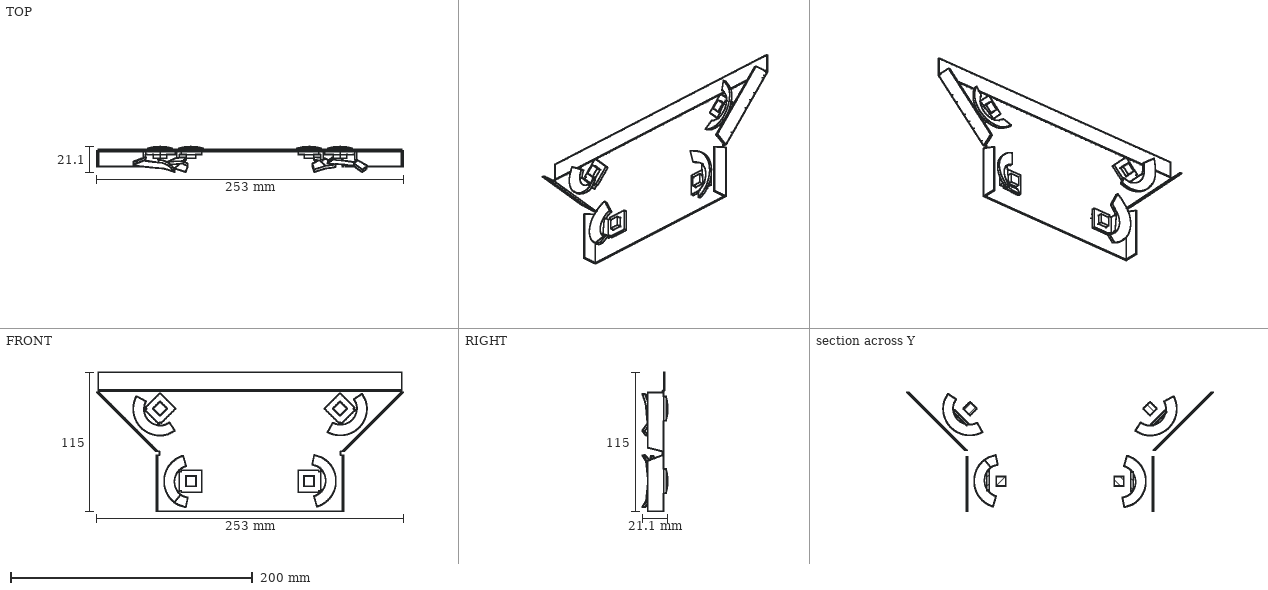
import cadquery as cq
import math


SHEET = 1.15
HALF_TOP = 126.5
HALF_LOWER = 77.4
LIP_HALF = 125.5
CORNER_Y = 98.4
JOG_START = 99.0
JOG_END = 100.6
PANEL_TOP = 115.0
LIP_SETBACK = 1.0
WALL_DEPTH = 12.1
BEND_Y = CORNER_Y - (HALF_TOP - HALF_LOWER)

RELIEF_HALF = 74.8
RELIEF_LOW = 46.5
RELIEF_HIGH = 49.5
RELIEF_LOW_FRONT = 42.0
RELIEF_HIGH_FRONT = 52.5

HEAD_RADIUS = 10.0
HEAD_RIM = 1.9
DOME_RISE = 1.5
PIN = 8.0
PIN_FRONT = 5.3

LATCH = 2.3
PLATE = 18.2
PIN_CLEARANCE = 0.3
PLATE_SHOULDER = 7.8
TAB_WIDTH = 15.7
TAB_INNER = 9.5
NECK_FRONT = 7.8
WING_INNER = 13.7
WING_OUTER = 22.3
WING_RISE = 4.0
WING_TILT = 6.0
WING_START = -73.0
TIP_STEPS = (
    (52.0, 0.0),
    (62.0, 0.8),
    (79.0, 2.5),
)

LOWER_X = 48.8
LOWER_Y = 25.0
UPPER_X = 74.3
UPPER_Y = 85.0
STATIONS = (
    (-LOWER_X, LOWER_Y, 180),
    (LOWER_X, LOWER_Y, 0),
    (-UPPER_X, UPPER_Y, 225),
    (UPPER_X, UPPER_Y, 315),
)


def square_bar(side, z_low, z_high):
    return cq.Workplane("XY").workplane(offset=z_low).rect(side, side).extrude(z_high - z_low)


def side_outline(inset):
    """Right-hand edge of the sheet, moved inwards by inset, from the bottom to the upper corner."""
    return [
        (HALF_LOWER - inset, 0),
        (HALF_LOWER - inset, BEND_Y + inset * math.tan(math.radians(22.5))),
        (HALF_TOP - inset * math.sqrt(2), CORNER_Y),
    ]


def mirrored(body):
    return body.union(body.mirror("YZ"))


def make_panel():
    right = side_outline(0)
    half = [(0, 0)] + right + [(LIP_HALF, CORNER_Y), (LIP_HALF, JOG_START), (0, JOG_START)]
    sheet = cq.Workplane("XY").polyline(half).close().extrude(-SHEET)

    lip_profile = [
        (JOG_START, 0), (JOG_END, -LIP_SETBACK), (PANEL_TOP, -LIP_SETBACK),
        (PANEL_TOP, -LIP_SETBACK - SHEET), (JOG_END, -LIP_SETBACK - SHEET), (JOG_START, -SHEET),
    ]
    lip = cq.Workplane("YZ").polyline(lip_profile).close().extrude(LIP_HALF)

    wall_outline = right + side_outline(SHEET)[::-1]
    wall = cq.Workplane("XY").polyline(wall_outline).close().extrude(WALL_DEPTH)

    relief_profile = [
        (RELIEF_LOW, -SHEET), (RELIEF_LOW, 0), (RELIEF_LOW_FRONT, WALL_DEPTH),
        (RELIEF_HIGH_FRONT, WALL_DEPTH), (RELIEF_HIGH, 0), (RELIEF_HIGH, -SHEET),
    ]
    relief = (
        cq.Workplane("YZ").workplane(offset=RELIEF_HALF)
        .polyline(relief_profile).close().extrude(HALF_TOP - RELIEF_HALF)
    )
    panel = mirrored(sheet.union(lip).union(wall).cut(relief))
    for station in STATIONS:
        panel = panel.cut(at_station(square_bar(PIN, -SHEET, 0), station))
    return panel


def make_knob():
    rim_z = -SHEET - HEAD_RIM
    dome_radius = (HEAD_RADIUS ** 2 + DOME_RISE ** 2) / (2 * DOME_RISE)
    mid_radius = HEAD_RADIUS / 2
    mid_z = rim_z - DOME_RISE + dome_radius - math.sqrt(dome_radius ** 2 - mid_radius ** 2)
    head = (
        cq.Workplane("XZ")
        .moveTo(0, -SHEET).lineTo(HEAD_RADIUS, -SHEET).lineTo(HEAD_RADIUS, rim_z)
        .threePointArc((mid_radius, mid_z), (0, rim_z - DOME_RISE))
        .close().revolve(360, (0, 0), (0, 1))
    )
    return head.union(square_bar(PIN, -SHEET, PIN_FRONT))


def swept_sector(profile, start, end):
    """Turn a (radius, z) profile about the z axis from one angle to the other."""
    sector = cq.Workplane("XZ").polyline(profile).close().revolve(end - start, (0, 0), (0, 1))
    return sector.rotate((0, 0, 0), (0, 0, 1), start)


def make_tip(blade):
    """Raised end of the wing, ruled between copies of the blade section at rising heights."""
    sections = []
    for angle, lift in TIP_STEPS:
        ray = math.radians(angle)
        corners = [
            cq.Vector(radius * math.cos(ray), radius * math.sin(ray), height + lift)
            for radius, height in blade
        ]
        sections.append(cq.Wire.makePolygon(corners, close=True))
    return cq.Workplane(cq.Solid.makeLoft(sections, True))


def make_wing():
    neck_back = NECK_FRONT - LATCH
    outer_front = NECK_FRONT + WING_RISE
    blade = [
        (WING_INNER, neck_back), (WING_OUTER, neck_back + WING_RISE),
        (WING_OUTER, outer_front), (WING_INNER, NECK_FRONT),
    ]
    wing = swept_sector(blade, WING_START, TIP_STEPS[0][0]).union(make_tip(blade))

    neck = (
        cq.Workplane("XY").workplane(offset=neck_back).circle(WING_INNER).extrude(LATCH)
        .intersect(
            cq.Workplane("XY").center((TAB_INNER + WING_OUTER) / 2, 0)
            .rect(WING_OUTER - TAB_INNER, TAB_WIDTH).extrude(NECK_FRONT)
        )
    )
    return wing.union(neck).rotate((0, 0, outer_front), (1, 0, outer_front), WING_TILT)


def make_latch():
    plate = (
        cq.Workplane("XY")
        .moveTo(-PLATE / 2, -PLATE / 2).lineTo(PLATE_SHOULDER, -PLATE / 2)
        .lineTo(PLATE_SHOULDER, PLATE / 2).lineTo(-PLATE / 2, PLATE / 2)
        .close().extrude(LATCH)
    )
    tongue = (
        cq.Workplane("XY")
        .center((PLATE_SHOULDER + TAB_INNER) / 2, 0)
        .rect(TAB_INNER - PLATE_SHOULDER, TAB_WIDTH).extrude(LATCH)
    )
    half_width = TAB_WIDTH / 2
    middle = NECK_FRONT - LATCH / 2
    lean = half_width * math.tan(math.radians(WING_TILT))
    tab_face = [
        (-half_width, 0), (half_width, 0),
        (half_width, middle + lean), (-half_width, middle - lean),
    ]
    tab = cq.Workplane("YZ").workplane(offset=TAB_INNER).polyline(tab_face).close().extrude(LATCH)
    latch = plate.union(tongue).union(tab).union(make_wing())
    return latch.cut(square_bar(PIN + 2 * PIN_CLEARANCE, 0, LATCH))


def at_station(body, station):
    x, y, direction = station
    return body.rotate((0, 0, 0), (0, 0, 1), direction).translate((x, y, 0))


def stand_up(body):
    return body.rotate((0, 0, 0), (1, 0, 0), 90).val()


panel = make_panel()
knobs = [at_station(make_knob(), station) for station in STATIONS]
latches = [at_station(make_latch(), station) for station in STATIONS]
result = cq.Compound.makeCompound([stand_up(body) for body in [panel] + knobs + latches])